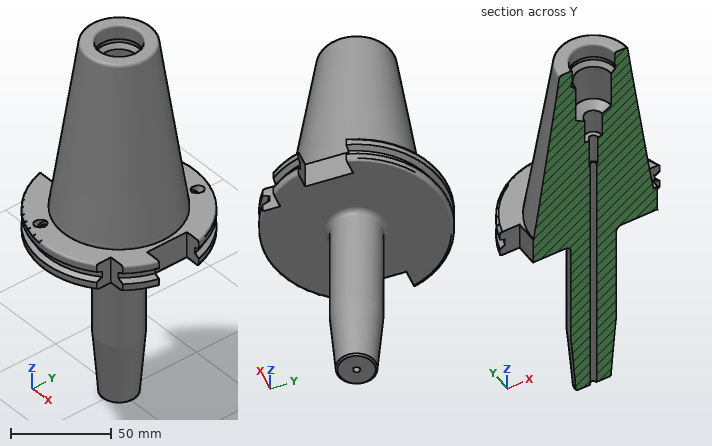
import cadquery as cq
import math


overall_length = 221.8

gauge_diameter = 69.9
gauge_radius = gauge_diameter / 2
taper_length = 101.8
taper_slope = 3.5 / 24
nose_reach = overall_length - taper_length
taper_top_radius = gauge_radius - taper_slope * taper_length
taper_rim_fillet = 2.0

collar_radius = 35.3
collar_height = 2.0
collar_chamfer = 0.7

flange_radius = 48.8
flange_top = -3.0
flange_thickness = 16.0
flange_bottom = flange_top - flange_thickness
flange_fillet = 1.3
groove_center = -11.0
groove_floor_radius = 46.0
groove_floor_width = 3.3
groove_flank_angle = 30

shank_radius = 13.5
shank_fillet = 3.0
nose_radius = 10.5
nose_cone_length = 38.4
nose_chamfer = 0.9

mouth_radius = 12.5
mouth_fillet = 1.3
mouth_depth = 8.6
relief_radius = 12.9
relief_width = 2.5
thread_radius = 10.5
thread_depth = 35.5
drill_tip_angle = 30
step_radius = 5.0
step_depth = 53.2
pilot_radius = 2.5
pilot_depth = 71
through_radius = 1.8

key_slot_width = 25.7
left_key_seat = 35.5
right_key_seat = 37.7
notch_corner = 29.5

coolant_pitch_radius = 41.7
coolant_angle = 70
coolant_tilt = 30
coolant_radius = 3.0
screw_recess = 2.7
socket_width = 3.0
socket_depth = 2.5


def make_body():
    collar_top = flange_top + collar_height
    groove_depth = flange_radius - groove_floor_radius
    floor_half = groove_floor_width / 2
    opening_half = floor_half + groove_depth * math.tan(math.radians(groove_flank_angle))
    rim_flat = flange_radius - flange_fillet
    flange_arc_inset = flange_fillet * (1 - math.sqrt(0.5))
    shank_arc_inset = shank_fillet * (1 - math.sqrt(0.5))
    return (
        cq.Workplane("YZ")
        .moveTo(0, taper_length)
        .lineTo(taper_top_radius, taper_length)
        .lineTo(gauge_radius - taper_slope * collar_top, collar_top)
        .lineTo(collar_radius, collar_top - collar_chamfer)
        .lineTo(collar_radius, flange_top)
        .lineTo(rim_flat, flange_top)
        .threePointArc(
            (flange_radius - flange_arc_inset, flange_top - flange_arc_inset),
            (flange_radius, flange_top - flange_fillet),
        )
        .lineTo(flange_radius, groove_center + opening_half)
        .lineTo(groove_floor_radius, groove_center + floor_half)
        .lineTo(groove_floor_radius, groove_center - floor_half)
        .lineTo(flange_radius, groove_center - opening_half)
        .lineTo(flange_radius, flange_bottom + flange_fillet)
        .threePointArc(
            (flange_radius - flange_arc_inset, flange_bottom + flange_arc_inset),
            (rim_flat, flange_bottom),
        )
        .lineTo(shank_radius + shank_fillet, flange_bottom)
        .threePointArc(
            (shank_radius + shank_arc_inset, flange_bottom - shank_arc_inset),
            (shank_radius, flange_bottom - shank_fillet),
        )
        .lineTo(shank_radius, nose_cone_length - nose_reach)
        .lineTo(nose_radius, -nose_reach)
        .lineTo(0, -nose_reach)
        .close()
        .revolve(360, (0, 0, 0), (0, 1, 0))
        .faces(">Z").edges().fillet(taper_rim_fillet)
        .faces("<Z").edges().chamfer(nose_chamfer)
    )


def make_bore():
    def height_at(depth):
        """Z of a point at the given depth below the taper's top face."""
        return taper_length - depth

    relief_start = mouth_depth + relief_radius - mouth_radius
    countersink_end = mouth_depth + relief_width + relief_radius - thread_radius
    drill_tip_slope = math.tan(math.radians(drill_tip_angle))
    drill_tip_end = thread_depth + (thread_radius - step_radius) * drill_tip_slope
    return (
        cq.Workplane("YZ")
        .moveTo(0, height_at(0))
        .lineTo(mouth_radius, height_at(0))
        .lineTo(mouth_radius, height_at(mouth_depth))
        .lineTo(relief_radius, height_at(relief_start))
        .lineTo(relief_radius, height_at(mouth_depth + relief_width))
        .lineTo(thread_radius, height_at(countersink_end))
        .lineTo(thread_radius, height_at(thread_depth))
        .lineTo(step_radius, height_at(drill_tip_end))
        .lineTo(step_radius, height_at(step_depth))
        .lineTo(pilot_radius, height_at(step_depth))
        .lineTo(pilot_radius, height_at(pilot_depth))
        .lineTo(through_radius, height_at(pilot_depth))
        .lineTo(through_radius, -nose_reach)
        .lineTo(0, -nose_reach)
        .close()
        .revolve(360, (0, 0, 0), (0, 1, 0))
    )


def flange_cutter(x_start, x_end, y_start, y_end):
    block = cq.Workplane("XY").box(
        x_end - x_start, y_end - y_start, flange_thickness, centered=False
    )
    return block.translate((x_start, y_start, flange_bottom))


def make_coolant_hole(angle):
    tilt = math.radians(coolant_tilt)
    heading = math.radians(angle)
    outward = cq.Vector(math.cos(heading), math.sin(heading), 0)
    axis = outward * math.sin(tilt) + cq.Vector(0, 0, math.cos(tilt))
    mouth = outward * coolant_pitch_radius + cq.Vector(0, 0, flange_top)
    across = cq.Vector(0, 0, 1).cross(outward)
    screw_face = cq.Workplane(cq.Plane(mouth - axis * screw_recess, across, axis))
    hole = screw_face.circle(coolant_radius).extrude(2 * screw_recess)
    socket_diameter = socket_width / math.cos(math.radians(30))
    socket = screw_face.polygon(6, socket_diameter).extrude(-socket_depth)
    return hole.union(socket)


result = make_body().cut(make_bore())
mouth_edge = cq.selectors.RadiusNthSelector(0)
result = result.faces(">Z").edges(mouth_edge).fillet(mouth_fillet)

half_slot = key_slot_width / 2
result = result.cut(flange_cutter(-flange_radius, -left_key_seat, -half_slot, half_slot))
result = result.cut(flange_cutter(right_key_seat, flange_radius, -half_slot, half_slot))
result = result.cut(flange_cutter(notch_corner, flange_radius, -flange_radius, -notch_corner))

for hole_angle in (coolant_angle, coolant_angle + 180):
    result = result.cut(make_coolant_hole(hole_angle))